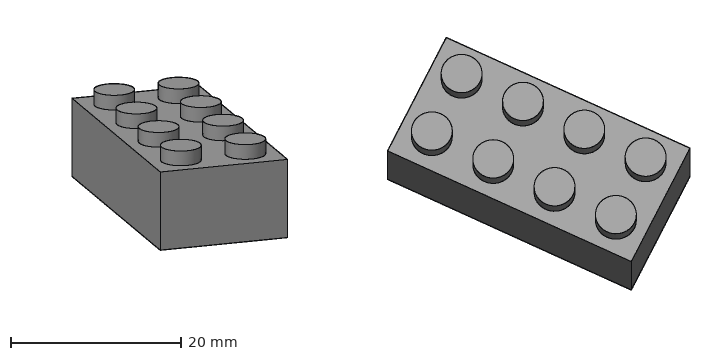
import cadquery as cq

stud_columns = 4
stud_rows = 2
stud_pitch = 8.0
stud_diameter = 4.8
stud_height = 1.8

neighbour_clearance = 0.2
body_length = stud_columns * stud_pitch - neighbour_clearance
body_width = stud_rows * stud_pitch - neighbour_clearance
body_height = 9.6


def make_body():
    """Plain rectangular block standing on Z = 0, centred in X and Y."""
    return cq.Workplane("XY").box(
        body_length, body_width, body_height, centered=(True, True, False)
    )


def add_studs(body):
    """Raise a centred grid of round studs from the top face."""
    return (
        body.faces(">Z")
        .workplane()
        .rarray(stud_pitch, stud_pitch, stud_columns, stud_rows)
        .circle(stud_diameter / 2)
        .extrude(stud_height)
    )


result = add_studs(make_body())